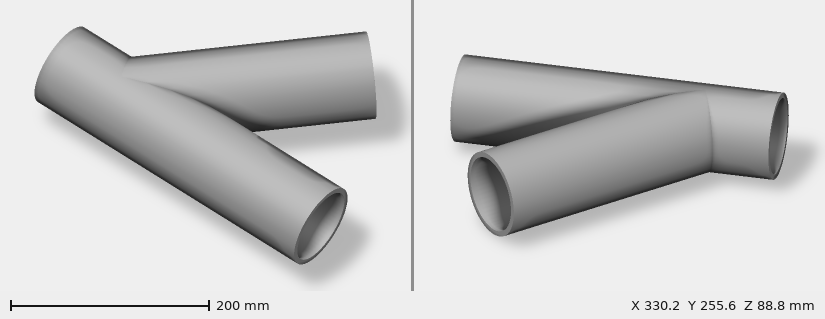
import cadquery as cq
import math

run_length = 330.2
outer_diameter = 88.8
bore_diameter = 78.0
junction_x = 76.3
branch_length = 254.3
branch_angle = math.radians(45)

branch_direction = (math.cos(branch_angle), math.sin(branch_angle), 0)


def rod(diameter, length, start, direction):
    """Solid round bar along the given direction."""
    plane = cq.Plane(origin=start, xDir=(0, 0, 1), normal=direction)
    return cq.Workplane(plane).circle(diameter / 2).extrude(length)


def wye(diameter):
    """Run and branch of one diameter, joined into a single body."""
    run = rod(diameter, run_length, (0, 0, 0), (1, 0, 0))
    branch = rod(diameter, branch_length, (junction_x, 0, 0), branch_direction)
    return run.union(branch)


result = wye(outer_diameter).cut(wye(bore_diameter))